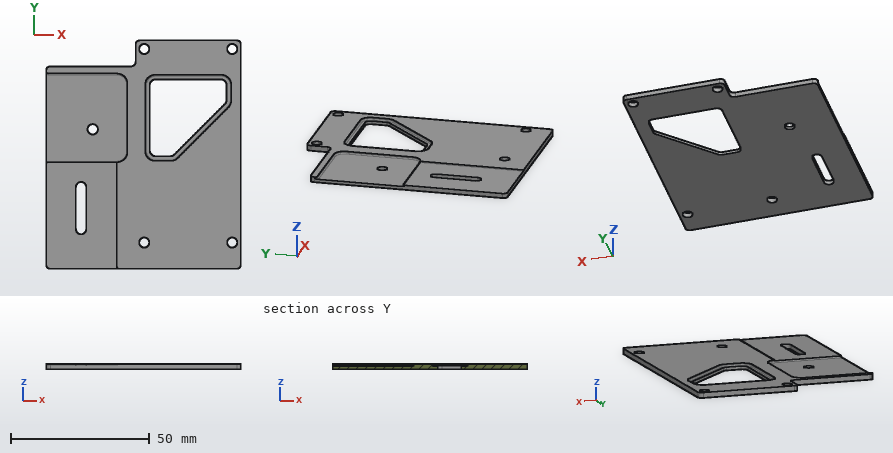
import cadquery as cq
plate_length = 70.36
plate_width = 82.55
plate_thickness = 2.03
corner_radius = 1.5875

notch_length = 32.3
notch_width = 9.4

step_length = 25.6
step_depth = 0.254
step_floor_fillet = 0.25

pocket_length = 29.4
pocket_bottom = 38.55
pocket_top = 70.55
pocket_corner_radius = 3.81

recess_depth = 0.762
floor_fillet = 0.397

mouth_radius = 0.794

mount_diameter = 3.56
mount_inset = 3.175
mount_spacing_x = 31.75
mount_spacing_y = 69.85

pocket_hole_diameter = 3.66
pocket_hole_center = (16.85, 50.4)
slot_width = 3.66
slot_length = 18.8
slot_center = (12.65, 21.95)

window_left = 37.5
window_right = 65.1
window_bottom = 40.75
window_top = 68.35
window_diagonal = 5.0
window_corner_radius = 1.95
ledge_width = 1.75


def box(left, right, bottom, top, z_bottom):
    """Rectangular cutter from z_bottom up to the top face."""
    height = plate_thickness - z_bottom
    corner = cq.Workplane("XY", origin=(left, bottom, z_bottom))
    return corner.box(right - left, top - bottom, height, centered=False)


def plate():
    """Notched plate with every upright corner rounded."""
    notch_y = plate_width - notch_width
    return (
        cq.Workplane("XY")
        .moveTo(0, 0)
        .lineTo(plate_length, 0)
        .lineTo(plate_length, plate_width)
        .lineTo(notch_length, plate_width)
        .lineTo(notch_length, notch_y)
        .lineTo(0, notch_y)
        .close()
        .extrude(plate_thickness)
        .edges("|Z")
        .fillet(corner_radius)
    )


def round_wall_end(cutter, x, y):
    """Round the upright edge where a recess wall meets the side of the plate at (x, y)."""
    wall_end = cq.selectors.NearestToPointSelector((x, y, cutter.val().Center().z))
    return cutter.edges("|Z").edges(wall_end).fillet(mouth_radius)


def step_cutter():
    """Reaches past the left edge and into the pocket, and flares at the front edge."""
    overrun = 2 * mouth_radius
    z_bottom = plate_thickness - step_depth
    step_top = (pocket_bottom + pocket_top) / 2
    channel = box(-overrun, step_length, -overrun, step_top, z_bottom)
    mouth = box(-overrun, step_length + overrun, -overrun, 0, z_bottom)
    cutter = round_wall_end(channel.union(mouth), step_length, 0)
    return cutter.faces("<Z").edges().fillet(step_floor_fillet)


def pocket_cutter():
    """Rounded at the closed end and flared on both sides at the left edge."""
    overrun = 2 * mouth_radius
    z_bottom = plate_thickness - recess_depth
    channel = box(-overrun, pocket_length, pocket_bottom, pocket_top, z_bottom)
    channel = channel.edges("|Z and >X").fillet(pocket_corner_radius)
    mouth = box(-overrun, 0, pocket_bottom - overrun, pocket_top + overrun, z_bottom)
    cutter = channel.union(mouth)
    for wall_y in (pocket_bottom, pocket_top):
        cutter = round_wall_end(cutter, 0, wall_y)
    return cutter.faces("<Z").edges().fillet(floor_fillet)


def window_prism(z_bottom):
    """Window outline with rounded corners, extruded up to the top face."""
    return (
        cq.Workplane("XY", origin=(0, 0, z_bottom))
        .moveTo(window_left, window_bottom)
        .lineTo(window_bottom + window_diagonal, window_bottom)
        .lineTo(window_right, window_right - window_diagonal)
        .lineTo(window_right, window_top)
        .lineTo(window_left, window_top)
        .close()
        .extrude(plate_thickness - z_bottom)
        .edges("|Z")
        .fillet(window_corner_radius)
    )


def ledge_cutter():
    """Window outline grown by the ledge width, with a rounded floor edge."""
    z_bottom = plate_thickness - recess_depth
    return (
        window_prism(z_bottom)
        .faces("<Z")
        .wires()
        .toPending()
        .workplane(invert=True)
        .offset2D(ledge_width)
        .extrude(recess_depth)
        .faces("<Z")
        .edges()
        .fillet(floor_fillet)
    )


def hole_cutter(center, diameter):
    """Cylinder through the whole plate."""
    return cq.Workplane("XY").center(*center).circle(diameter / 2).extrude(plate_thickness)


def slot_cutter():
    """Slot through the whole plate, lengthwise along Y."""
    slot_angle = 90
    return cq.Workplane("XY").center(*slot_center).slot2D(slot_length, slot_width, slot_angle).extrude(plate_thickness)


result = plate()
result = result.cut(step_cutter())
result = result.cut(pocket_cutter())
result = result.cut(ledge_cutter())
result = result.cut(window_prism(0))
result = result.cut(slot_cutter())
result = result.cut(hole_cutter(pocket_hole_center, pocket_hole_diameter))

mount_right = plate_length - mount_inset
mount_top = plate_width - mount_inset
for mount_x in (mount_right - mount_spacing_x, mount_right):
    for mount_y in (mount_top - mount_spacing_y, mount_top):
        result = result.cut(hole_cutter((mount_x, mount_y), mount_diameter))